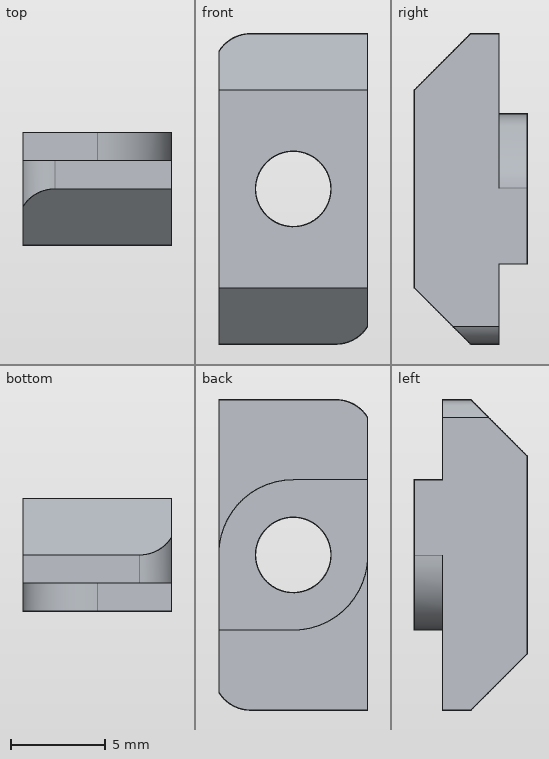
import cadquery as cq
import math

width = 7.9
length = 16.5
flange_depth = 4.5
boss_depth = 1.5
bevel = 3.0
hole_diameter = 4.0

corner_radius = 2.0
corner_run = 1.7

boss_height = 7.99
boss_radius = width / 2

half_width = width / 2
half_length = length / 2
total_depth = flange_depth + boss_depth


def opposite(point):
    """Turn a point by 180 degrees about the part center."""
    return (-point[0], -point[1])


def rounded_plate(height, radius, run, depth):
    """Plate from y = 0 to y = depth with its upper left and lower right corners rounded.

    Each arc starts tangent to the end face, at the distance run from the side face.
    """
    center_x = run - half_width
    center_z = height / 2 - radius
    start_angle = math.pi / 2
    end_angle = math.acos(-run / radius)

    def on_arc(angle):
        return (center_x + radius * math.cos(angle), center_z + radius * math.sin(angle))

    sharp_corner = (half_width, height / 2)
    arc_start = on_arc(start_angle)
    arc_middle = on_arc((start_angle + end_angle) / 2)
    arc_end = on_arc(end_angle)
    return (
        cq.Workplane("XZ")
        .moveTo(*sharp_corner)
        .lineTo(*arc_start)
        .threePointArc(arc_middle, arc_end)
        .lineTo(*opposite(sharp_corner))
        .lineTo(*opposite(arc_start))
        .threePointArc(opposite(arc_middle), opposite(arc_end))
        .close()
        .extrude(-depth)
    )


def bevelled_block():
    """Bar with 45 degree bevels on both ends of its -Y face."""
    return (
        cq.Workplane("YZ")
        .polyline([
            (0, half_length - bevel),
            (bevel, half_length),
            (flange_depth, half_length),
            (flange_depth, -half_length),
            (bevel, -half_length),
            (0, bevel - half_length),
        ])
        .close()
        .extrude(half_width, both=True)
    )


flange = rounded_plate(length, corner_radius, corner_run, flange_depth).intersect(bevelled_block())

boss = (
    rounded_plate(boss_height, boss_radius, boss_radius, boss_depth)
    .mirror("YZ")
    .translate((0, flange_depth, 0))
)

hole = cq.Workplane("XZ").circle(hole_diameter / 2).extrude(-total_depth)

result = flange.union(boss).cut(hole)